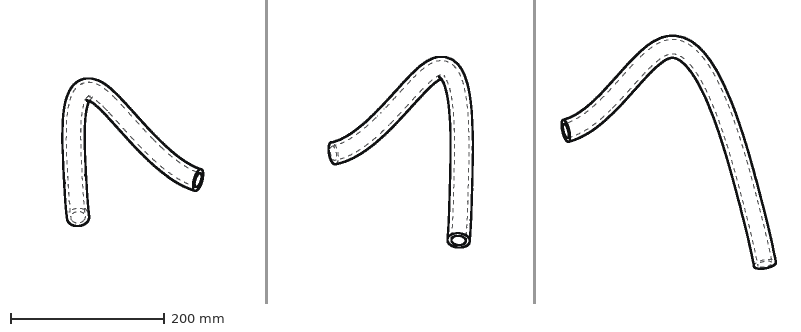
import cadquery as cq

outer_diameter = 29.5
bore_diameter = 19.0

side_end = cq.Vector(0, 0, 0)
crest = cq.Vector(-142.5, -3.0, 91.8)
leg = cq.Vector(-226.0, 85.5, -126.0)
foot = cq.Vector(-235.0, 111.0, -209.3)

side_direction = cq.Vector(-1, 0, 0)
foot_direction = cq.Vector(-0.07, 0.3, -1).normalized()


def centre_line():
    """Smooth curve from the side end, over the crest, down to the foot."""
    curve = cq.Edge.makeSpline(
        [side_end, crest, leg, foot],
        tangents=[side_direction, foot_direction],
        scale=False,
    )
    return cq.Wire.assembleEdges([curve])


def tube():
    """Sweep the tube wall, with the bore open at both ends."""
    end_plane = cq.Plane(origin=side_end, xDir=(0, 1, 0), normal=side_direction)
    wall = cq.Workplane(end_plane).circle(outer_diameter / 2).circle(bore_diameter / 2)
    return wall.sweep(centre_line())


result = tube()